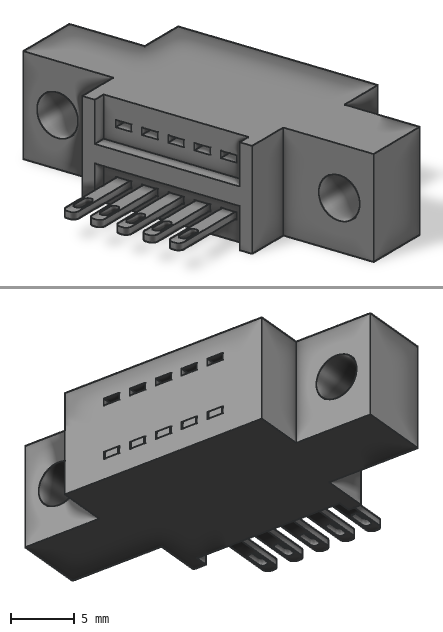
import cadquery as cq

flange_length = 33.9
height = 9.4
rear_width = 19.33
rear_depth = 4.58
flange_depth = 6.35
front_width = 16.45
front_depth = 4.27

mount_hole_diameter = 3.97
mount_hole_offset = 13.63

recess_width = 14.0
recess_depth = 1.22
web_thickness = 1.7

contact_count = 5
contact_pitch = 2.55
row_offset = 2.48
slot_width = 1.53
slot_height = 0.65

contact_width = 1.25
tail_length = 6.3
tip_radius = 0.5
eyelet_width = 0.8
eyelet_length = 2.07
eyelet_distance = 4.3

front_y = -front_depth
rear_y = flange_depth + rear_depth
housing_depth = rear_y - front_y
tail_tip_y = front_y - tail_length
contact_xs = [(i - (contact_count - 1) / 2) * contact_pitch for i in range(contact_count)]


def block(width, depth, block_height, y_start, z_center=0.0):
    """Box centred on X, running from y_start towards +Y."""
    return (
        cq.Workplane("XY")
        .box(width, depth, block_height, centered=(True, False, True))
        .translate((0, y_start, z_center))
    )


def cut_recesses(body):
    """Open the front of the terminal block above and below the web."""
    recess_height = (height - web_thickness) / 2
    recess_center = (height - recess_height) / 2
    for side in (1, -1):
        body = body.cut(block(recess_width, recess_depth, recess_height, front_y, side * recess_center))
    return body


def cut_contact_slots(body):
    """Run both rows of slots through the housing from front to rear."""
    for side in (1, -1):
        for x in contact_xs:
            slot = block(slot_width, housing_depth, slot_height, front_y, side * row_offset)
            body = body.cut(slot.translate((x, 0, 0)))
    return body


def cut_mount_holes(body):
    """Bore one hole along Y through each ear."""
    holes = (
        cq.Workplane("XZ")
        .pushPoints([(-mount_hole_offset, 0), (mount_hole_offset, 0)])
        .circle(mount_hole_diameter / 2)
        .extrude(-flange_depth)
    )
    return body.cut(holes)


def make_housing():
    """Ears, mating nose and terminal block with all their openings."""
    body = (
        block(flange_length, flange_depth, height, 0)
        .union(block(rear_width, rear_depth, height, flange_depth))
        .union(block(front_width, front_depth, height, front_y))
    )
    body = cut_recesses(body)
    body = cut_contact_slots(body)
    return cut_mount_holes(body)


def make_contact(x):
    """Flat contact in the lower row, from the rear face to a rounded tail with an eyelet."""
    blade = block(contact_width, rear_y - tail_tip_y, slot_height, tail_tip_y)
    blade = blade.edges("|Z and <Y").fillet(tip_radius)
    eyelet = (
        cq.Workplane("XY")
        .center(0, front_y - eyelet_distance)
        .slot2D(eyelet_length, eyelet_width, 90)
        .extrude(slot_height, both=True)
    )
    return blade.cut(eyelet).translate((x, 0, -row_offset))


housing = make_housing().solids()
contacts = [make_contact(x).solids() for x in contact_xs]

result = cq.Compound.makeCompound([housing.val(), *[contact.val() for contact in contacts]])